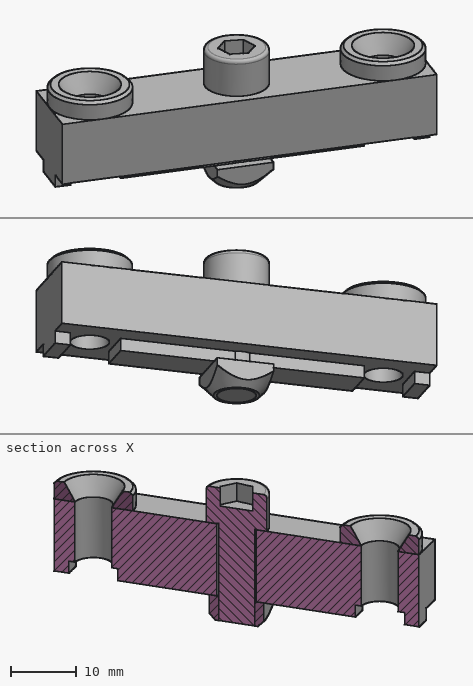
import cadquery as cq
import math

bar_length = 60.0
bar_width = 13.0
bar_height = 10.0
key_width = 6.0
key_height = 2.0
end_lug_length = 2.45
key_gap_length = 8.05
screw_clearance_diameter = 6.4

washer_diameter = bar_width
washer_height = 3.0
washer_chamfer = 0.5
bolt_hole_diameter = 6.0
countersink_diameter = 9.55
washer_offset = (bar_length - washer_diameter) / 2

head_diameter = 10.0
head_height = 6.0
head_fillet = 0.6
shank_diameter = 6.0
socket_across_flats = 5.0
socket_depth = 3.0
socket_angle = 21.0

nut_width = 9.0
nut_height = 4.0
nut_tip_diameter = 7.0

nut_top = nut_height
bar_bottom = nut_top + key_height
bar_top = bar_bottom + bar_height
washer_positions = [(0, -washer_offset), (0, washer_offset)]


def make_bar():
    """Rectangular bar with an interrupted guide key along its underside."""
    block = cq.Workplane("XY").workplane(offset=bar_bottom).box(
        bar_width, bar_length, bar_height, centered=(True, True, False)
    )
    key_plane = cq.Workplane("XY").workplane(offset=nut_top)
    key = key_plane.box(key_width, bar_length, key_height, centered=(True, True, False))
    gap_offset = bar_length / 2 - end_lug_length - key_gap_length / 2
    gaps = key_plane.pushPoints([(0, -gap_offset), (0, gap_offset)]).box(
        key_width, key_gap_length, key_height, centered=(True, True, False)
    )
    drilled_height = key_height + bar_height
    bolt_holes = (
        key_plane.pushPoints(washer_positions)
        .circle(bolt_hole_diameter / 2)
        .extrude(drilled_height)
    )
    screw_hole = key_plane.circle(screw_clearance_diameter / 2).extrude(drilled_height)
    return block.union(key.cut(gaps)).cut(bolt_holes).cut(screw_hole)


def make_washer(position):
    """Round raised seat with a countersink tapering through its full height."""
    disc = (
        cq.Workplane("XY")
        .circle(washer_diameter / 2)
        .extrude(washer_height)
        .faces(">Z")
        .chamfer(washer_chamfer)
    )
    countersink = cq.Workplane("XY").add(
        cq.Solid.makeCone(
            bolt_hole_diameter / 2,
            countersink_diameter / 2,
            washer_height,
        )
    )
    x, y = position
    return disc.cut(countersink).translate((x, y, bar_top))


def make_screw():
    """Socket head screw whose shank ends flush with the nut underside."""
    head = (
        cq.Workplane("XY")
        .workplane(offset=bar_top)
        .circle(head_diameter / 2)
        .extrude(head_height)
        .faces(">Z")
        .edges()
        .fillet(head_fillet)
    )
    shank = cq.Workplane("XY").circle(shank_diameter / 2).extrude(bar_top)
    socket_across_corners = socket_across_flats / math.cos(math.pi / 6)
    socket = (
        cq.Workplane("XY")
        .polygon(6, socket_across_corners)
        .extrude(socket_depth)
        .rotate((0, 0, 0), (0, 0, 1), socket_angle)
        .translate((0, 0, bar_top + head_height - socket_depth))
    )
    return head.union(shank).cut(socket)


def make_nut():
    """Square nut with its lower corners turned to a 45 degree cone."""
    square = cq.Workplane("XY").box(
        nut_width, nut_width, nut_height, centered=(True, True, False)
    )
    tip_radius = nut_tip_diameter / 2
    cone = cq.Workplane("XY").add(
        cq.Solid.makeCone(tip_radius, tip_radius + nut_height, nut_height)
    )
    hole = cq.Workplane("XY").circle(shank_diameter / 2).extrude(nut_height)
    return square.intersect(cone).cut(hole)


bar = make_bar()
washers = [make_washer(position) for position in washer_positions]
screw = make_screw()
nut = make_nut()

result = cq.Compound.makeCompound(
    [body.solids().val() for body in (bar, *washers, screw, nut)]
)